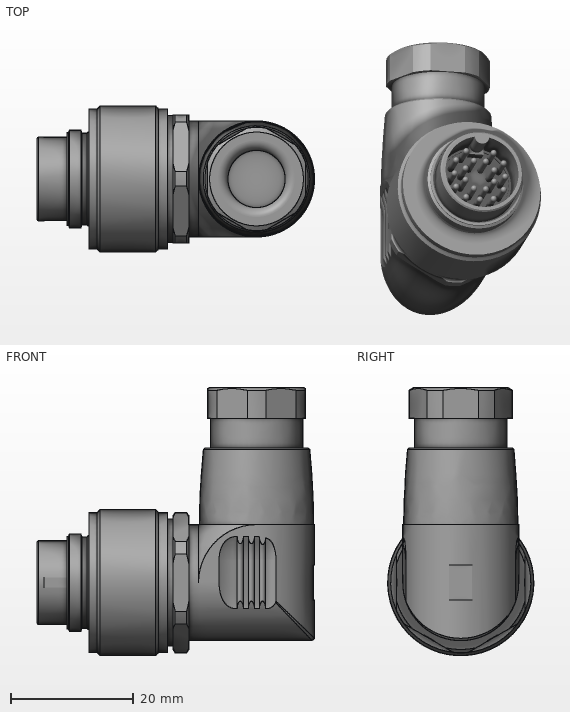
import cadquery as cq
import math


LENGTH = 45.5
BODY_R = 9.5
OUTLET_X = LENGTH - BODY_R
CORNER_TRIM = 0.27
LABEL_FLAT_DEPTH = 0.2
LABEL_FLAT_HEIGHT = 5.75

SHELL_R = 13.8 / 2
SHELL_END = 4.9
SHELL_CHAMFER = 0.25
COLLAR_R = 8.0
COLLAR_GROOVE_R = 7.2
COLLAR_GROOVE_DEPTH = 0.45
COLLAR_STEP_R = 7.6
COLLAR_STEP_END = 5.15
COLLAR_START = 5.35
COLLAR_END = 7.2
THROAT_R = 7.5
THROAT_START = 7.35
THROAT_END = 8.2
FLARE_R = 7.8

RING_START = 8.5
RING_END = 21.45
RING_R = 23.0 / 2
GRIP_RING_R = 24.0 / 2
GRIP_RING_START = 10.37
GRIP_RING_END = 19.45
GRIP_RING_CHAMFER = GRIP_RING_R - RING_R

NECK_R = 20.9 / 2
NUT_START = 22.3
NUT_END = 24.9
NUT_FLATS = 21.0
NUT_CORNER_R = 11.5
NUT_CHAMFER_DEPTH = 0.35
NUT_CHAMFER_WIDTH = 0.55

BORE_R = 6.1
BORE_DEPTH = 6.1
INSERT_R = 5.75
INSERT_DEPTH = 6.35
KEY_HALF_WIDTH = 1.205
KEY_NOSE_BOTTOM = 4.85
KEY_BOTTOM = 4.55
KEY_BASE_LENGTH = 1.8
PIN_R = 0.5
PIN_TIP = 1.2
INNER_PIN_CIRCLE_R = 2.6
OUTER_PIN_CIRCLE_R = 4.6
AXIS_PIN_CIRCLE_R = 4.25
INNER_PIN_COUNT = 8
OUTER_PIN_PITCH = 30

FLANK_FLAT_START = 1.15
FLANK_FLAT_HALF_HEIGHT = 0.8

HEIGHT = 44.0
TOP = HEIGHT - GRIP_RING_R
CONE_BASE_R = 9.37
CONE_MID_R = 9.2
CONE_TOP_R = 8.75
CONE_TOP = 22.05
CONE_CHAMFER = 0.27
STEM_R = 15.2 / 2
CAP_BOTTOM = 26.95
CAP_FLATS = 16.0
CAP_CORNER_R = 8.5
CAP_CHAMFER_DEPTH = 0.5
CAP_CHAMFER_WIDTH = 0.8
CAP_BORE_R = 4.7
CAP_LIP_R = 1.6

GRIP_FLOOR_Y = 8.5
GRIP_FLOOR_START = 32.55
GRIP_FLOOR_END = 37.75
GRIP_FRONT_R = 4.1
GRIP_REAR_R = 2.4
GRIP_BEND_Z = 3.78
GRIP_BEND_R = 7.55
GRIP_BEND_ANGLE = 60
RIB_R = 0.5
RIB_PITCH = 1.8
RIB_COUNT = 3


def x_cylinder(radius, start, end):
    return cq.Workplane("YZ").workplane(offset=start).circle(radius).extrude(end - start)


def z_cylinder(radius, bottom, top):
    return cq.Workplane("XY", origin=(OUTLET_X, 0, bottom)).circle(radius).extrude(top - bottom)


def box_between(x0, x1, y0, y1, z0, z1):
    return cq.Workplane("XY", origin=(x0, y0, z0)).box(x1 - x0, y1 - y0, z1 - z0, centered=False)


def revolved(points, axis_start, axis_end):
    """Solid of revolution of a closed polygon drawn in the XZ plane."""
    return cq.Workplane("XZ").polyline(points).close().revolve(360, axis_start, axis_end)


def hexagon_prism(plane, flats, height):
    return plane.transformed(rotate=(0, 0, 30)).polygon(6, flats / math.cos(math.pi / 6)).extrude(height)


def elbow():
    """Two equal cylinders joined by a mitre below and a spherical saddle above."""
    horizontal = x_cylinder(BODY_R, NUT_END, LENGTH)
    vertical = z_cylinder(BODY_R, -BODY_R, BODY_R)
    front_leg = horizontal.intersect(
        box_between(NUT_END, OUTLET_X, -BODY_R, BODY_R, -BODY_R, BODY_R)
    )
    upper_leg = vertical.intersect(
        box_between(OUTLET_X - BODY_R, LENGTH, -BODY_R, BODY_R, 0, BODY_R)
    )
    mitre = horizontal.intersect(vertical)

    mitre_plane = cq.Plane(origin=(OUTLET_X, 0, 0), xDir=(1, 0, -1), normal=(1, 0, 1))
    trim_blank = cq.Workplane(mitre_plane).ellipse(math.sqrt(2) * BODY_R - CORNER_TRIM, BODY_R)
    mitre = mitre.intersect(trim_blank.extrude(2 * BODY_R, both=True))

    saddle = cq.Workplane("XY", origin=(OUTLET_X, 0, 0)).sphere(BODY_R * math.sqrt(2))
    saddle = saddle.intersect(
        box_between(OUTLET_X - BODY_R, OUTLET_X, -BODY_R, BODY_R, 0, BODY_R)
    )
    return front_leg.union(upper_leg).union(mitre).union(saddle)


def plug():
    """Shell, collar, coupling ring and neck, turned about the X axis."""
    groove_floor = SHELL_END + COLLAR_GROOVE_DEPTH
    profile = [
        (0, 0),
        (0, SHELL_R - SHELL_CHAMFER),
        (SHELL_CHAMFER, SHELL_R),
        (groove_floor, SHELL_R),
        (groove_floor, COLLAR_GROOVE_R),
        (SHELL_END, COLLAR_GROOVE_R),
        (SHELL_END, COLLAR_STEP_R),
        (COLLAR_STEP_END, COLLAR_STEP_R),
        (COLLAR_START, COLLAR_R),
        (COLLAR_END, COLLAR_R),
        (THROAT_START, THROAT_R),
        (THROAT_END, THROAT_R),
        (RING_START, FLARE_R),
        (RING_START, RING_R),
        (GRIP_RING_START - GRIP_RING_CHAMFER, RING_R),
        (GRIP_RING_START, GRIP_RING_R),
        (GRIP_RING_END, GRIP_RING_R),
        (GRIP_RING_END + GRIP_RING_CHAMFER, RING_R),
        (RING_END, RING_R),
        (RING_END, NECK_R),
        (NUT_START, NECK_R),
        (NUT_START, 0),
    ]
    return revolved(profile, (0, 0), (1, 0))


def lock_nut():
    """Hexagon with two flats facing +-Y, its corners turned and bevelled at both ends."""
    face_r = NUT_CORNER_R - NUT_CHAMFER_WIDTH
    profile = [
        (NUT_START, 0),
        (NUT_START, face_r),
        (NUT_START + NUT_CHAMFER_DEPTH, NUT_CORNER_R),
        (NUT_END - NUT_CHAMFER_DEPTH, NUT_CORNER_R),
        (NUT_END, face_r),
        (NUT_END, 0),
    ]
    blank = revolved(profile, (0, 0), (1, 0))
    plane = cq.Workplane("YZ", origin=(NUT_START, 0, 0))
    return blank.intersect(hexagon_prism(plane, NUT_FLATS, NUT_END - NUT_START))


def outlet():
    """Slightly barrelled cone and the plain stem above it."""
    cone = (
        cq.Workplane("XZ", origin=(OUTLET_X, 0, 0))
        .moveTo(0, BODY_R)
        .lineTo(CONE_BASE_R, BODY_R)
        .threePointArc(
            (CONE_MID_R, (BODY_R + CONE_TOP) / 2),
            (CONE_TOP_R, CONE_TOP - CONE_CHAMFER),
        )
        .lineTo(CONE_TOP_R - CONE_CHAMFER, CONE_TOP)
        .lineTo(0, CONE_TOP)
        .close()
        .revolve(360, (0, 0), (0, 1))
    )
    return cone.union(z_cylinder(STEM_R, CONE_TOP, CAP_BOTTOM))


def cap():
    """Hexagonal cap with two flats facing +-X, bevelled on top, with a rounded cable mouth."""
    profile = [
        (OUTLET_X, CAP_BOTTOM),
        (OUTLET_X + CAP_CORNER_R, CAP_BOTTOM),
        (OUTLET_X + CAP_CORNER_R, TOP - CAP_CHAMFER_DEPTH),
        (OUTLET_X + CAP_CORNER_R - CAP_CHAMFER_WIDTH, TOP),
        (OUTLET_X, TOP),
    ]
    blank = revolved(profile, (OUTLET_X, 0), (OUTLET_X, 1))
    plane = cq.Workplane("XY", origin=(OUTLET_X, 0, CAP_BOTTOM))
    body = blank.intersect(hexagon_prism(plane, CAP_FLATS, TOP - CAP_BOTTOM))

    mouth_floor = TOP - CAP_LIP_R
    arc_offset = CAP_LIP_R * math.sqrt(0.5)
    lip_center_r = CAP_BORE_R + CAP_LIP_R
    mouth = (
        cq.Workplane("XZ", origin=(OUTLET_X, 0, 0))
        .moveTo(0, mouth_floor)
        .lineTo(CAP_BORE_R, mouth_floor)
        .threePointArc((lip_center_r - arc_offset, mouth_floor + arc_offset), (lip_center_r, TOP))
        .lineTo(0, TOP)
        .close()
        .revolve(360, (0, 0), (0, 1))
    )
    return body.cut(mouth)


def socket():
    """Stepped bore open at the front of the shell."""
    return x_cylinder(BORE_R, 0, BORE_DEPTH).union(x_cylinder(INSERT_R, BORE_DEPTH, INSERT_DEPTH))


def key():
    """Coding key at the top of the bore: a round-nosed rib on a square base."""
    outer = (BORE_R + SHELL_R) / 2
    nose_center = KEY_NOSE_BOTTOM + KEY_HALF_WIDTH
    nose = (
        cq.Workplane("YZ")
        .moveTo(-KEY_HALF_WIDTH, outer)
        .lineTo(-KEY_HALF_WIDTH, nose_center)
        .threePointArc((0, KEY_NOSE_BOTTOM), (KEY_HALF_WIDTH, nose_center))
        .lineTo(KEY_HALF_WIDTH, outer)
        .close()
        .extrude(INSERT_DEPTH)
    )
    base = box_between(
        INSERT_DEPTH - KEY_BASE_LENGTH, INSERT_DEPTH,
        -KEY_HALF_WIDTH, KEY_HALF_WIDTH, KEY_BOTTOM, outer,
    )
    return nose.union(base)


def pin(circle_r, angle_from_top):
    """Round-tipped contact pin, placed by its angle from +Z about the plug axis."""
    angle = math.radians(angle_from_top)
    y = circle_r * math.sin(angle)
    z = circle_r * math.cos(angle)
    tip_center = PIN_TIP + PIN_R
    shank = x_cylinder(PIN_R, tip_center, INSERT_DEPTH + PIN_R)
    return shank.union(cq.Workplane("XY", origin=(tip_center, 0, 0)).sphere(PIN_R)).translate((0, y, z))


def pins():
    """Inner ring of pins, and an outer ring that leaves out the place of the key."""
    inner_pitch = 360 / INNER_PIN_COUNT
    placed = [pin(INNER_PIN_CIRCLE_R, (i + 0.5) * inner_pitch) for i in range(INNER_PIN_COUNT)]
    for angle in range(OUTER_PIN_PITCH, 360, OUTER_PIN_PITCH):
        circle_r = AXIS_PIN_CIRCLE_R if angle % 90 == 0 else OUTER_PIN_CIRCLE_R
        placed.append(pin(circle_r, angle))
    return placed


def flank_flat():
    """Shallow flat on the -Y flank of the shell, running into the collar groove."""
    flat_y = math.sqrt(SHELL_R**2 - FLANK_FLAT_HALF_HEIGHT**2)
    return box_between(
        FLANK_FLAT_START, SHELL_END + COLLAR_GROOVE_DEPTH, -SHELL_R, -flat_y,
        -FLANK_FLAT_HALF_HEIGHT, FLANK_FLAT_HALF_HEIGHT,
    )


def grip_profile(z):
    """Section of the -Y grip recess: concave ends and a floor carrying half-round ribs."""
    floor = -GRIP_FLOOR_Y
    front_offset = GRIP_FRONT_R * math.sqrt(0.5)
    rear_offset = GRIP_REAR_R * math.sqrt(0.5)
    outline = (
        cq.Workplane("XY", origin=(0, 0, z))
        .moveTo(GRIP_FLOOR_START - GRIP_FRONT_R, floor - GRIP_FRONT_R)
        .threePointArc(
            (GRIP_FLOOR_START - front_offset, floor - GRIP_FRONT_R + front_offset),
            (GRIP_FLOOR_START, floor),
        )
    )
    middle_rib_x = (GRIP_FLOOR_START + GRIP_FLOOR_END) / 2
    for i in range(RIB_COUNT):
        rib_x = middle_rib_x + (i - (RIB_COUNT - 1) / 2) * RIB_PITCH
        outline = outline.lineTo(rib_x - RIB_R, floor)
        outline = outline.threePointArc((rib_x, floor - RIB_R), (rib_x + RIB_R, floor))
    return (
        outline.lineTo(GRIP_FLOOR_END, floor)
        .threePointArc(
            (GRIP_FLOOR_END + rear_offset, floor - GRIP_REAR_R + rear_offset),
            (GRIP_FLOOR_END + GRIP_REAR_R, floor - GRIP_REAR_R),
        )
        .close()
    )


def grip_recess():
    """Straight recess on the -Y flank that bends outward at its upper end."""
    straight = grip_profile(-BODY_R).extrude(BODY_R + GRIP_BEND_Z)
    axis_y = -GRIP_FLOOR_Y - GRIP_BEND_R
    bend = grip_profile(GRIP_BEND_Z).revolve(GRIP_BEND_ANGLE, (0, axis_y), (1, axis_y))
    return straight.union(bend)


def label_flat():
    """Shallow flat across the rear of the elbow, level with the plug axis."""
    return box_between(
        LENGTH - LABEL_FLAT_DEPTH, LENGTH, -BODY_R, BODY_R,
        -LABEL_FLAT_HEIGHT / 2, LABEL_FLAT_HEIGHT / 2,
    )


result = plug().union(lock_nut()).union(elbow()).union(outlet()).union(cap())
result = result.cut(socket()).union(key())
for contact in pins():
    result = result.union(contact)

for flank_cut in (flank_flat(), grip_recess()):
    result = result.cut(flank_cut).cut(flank_cut.mirror("XZ"))
result = result.cut(label_flat())